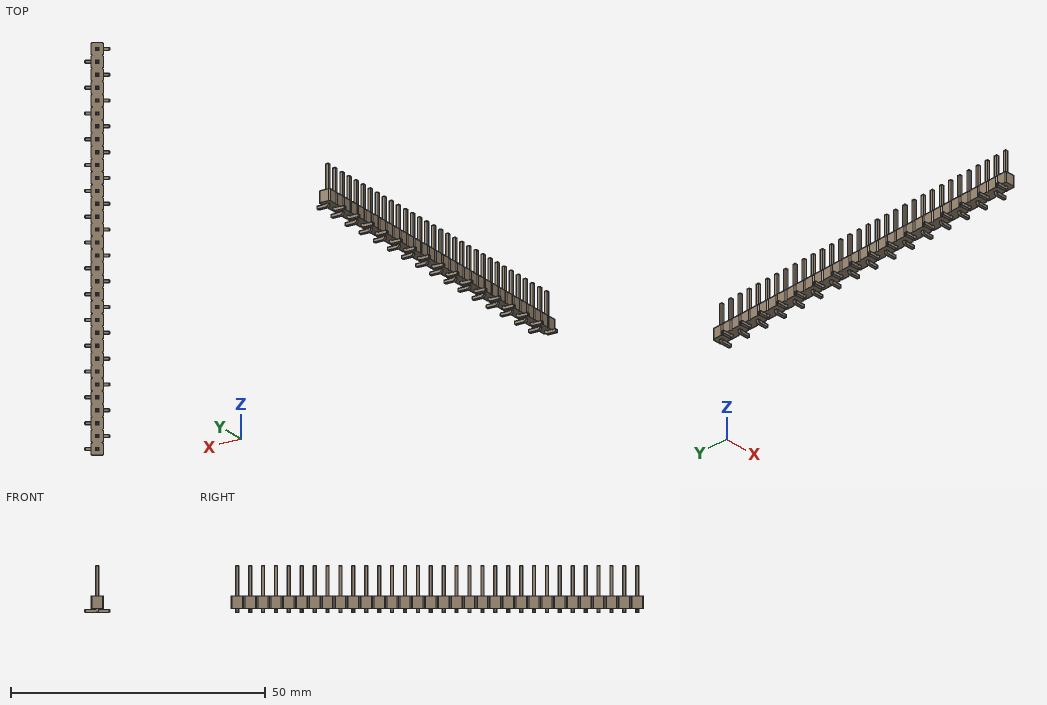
import cadquery as cq

PIN_COUNT = 32
PITCH = 2.54
OVERALL_HEIGHT = 9.3
FOOT_SPAN = 5.0
PIN_SIZE = 0.64
BODY_WIDTH = 2.54
BODY_HEIGHT = 2.54
BODY_BOTTOM = 0.76
BODY_CHAMFER = 0.254

FOOT_REACH = FOOT_SPAN / 2
HALF_PIN = PIN_SIZE / 2
TIP_CHAMFER = PIN_SIZE / 4
BEND_RADIUS = PIN_SIZE


def make_body_segment():
    """One pitch-long insulator block with chamfered vertical corners."""
    return (
        cq.Workplane("XY")
        .workplane(offset=BODY_BOTTOM)
        .rect(BODY_WIDTH, PITCH)
        .extrude(BODY_HEIGHT)
        .edges("|Z")
        .chamfer(BODY_CHAMFER)
    )


def make_pin():
    """Square pin bent at the bottom into a flat foot that points to +X."""
    bent_wire = (
        cq.Workplane("XZ")
        .moveTo(-HALF_PIN, 0)
        .lineTo(FOOT_REACH, 0)
        .lineTo(FOOT_REACH, PIN_SIZE)
        .lineTo(HALF_PIN, PIN_SIZE)
        .lineTo(HALF_PIN, OVERALL_HEIGHT)
        .lineTo(-HALF_PIN, OVERALL_HEIGHT)
        .close()
        .extrude(HALF_PIN, both=True)
    )
    rounded = bent_wire.edges("|Y").edges("<X and <Z").fillet(BEND_RADIUS)
    return rounded.faces(">X or >Z").chamfer(TIP_CHAMFER)


def make_header():
    """Row of body segments along Y whose feet alternate between -X and +X."""
    segment = make_body_segment()
    right_unit = segment.union(make_pin())
    left_unit = right_unit.rotate((0, 0, 0), (0, 0, 1), 180)
    first_y = -(PIN_COUNT - 1) * PITCH / 2

    header = None
    for index in range(PIN_COUNT):
        unit = left_unit if index % 2 == 0 else right_unit
        placed = unit.translate((0, first_y + index * PITCH, 0))
        header = placed if header is None else header.union(placed)
    return header


result = make_header()